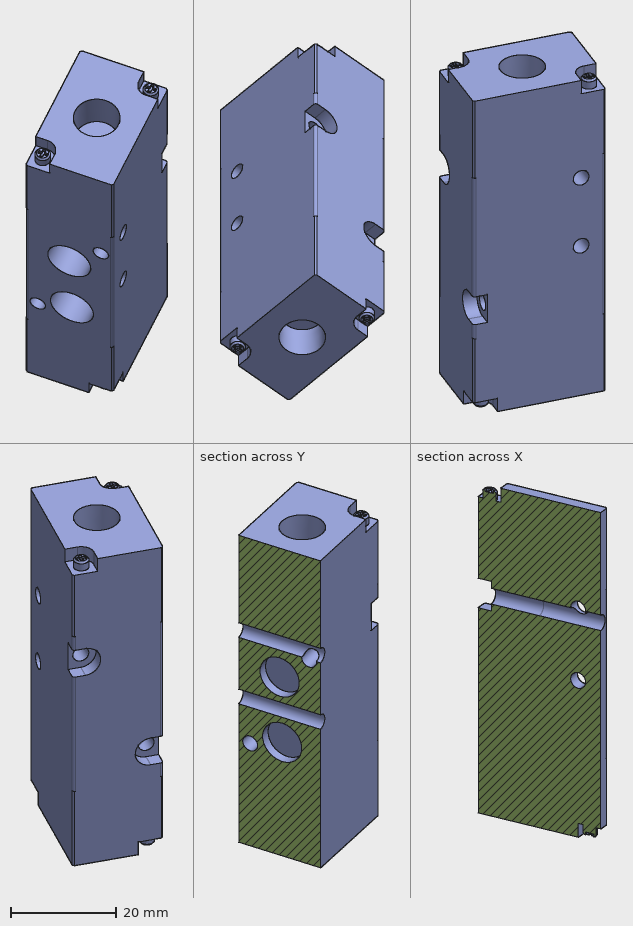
import cadquery as cq
import math

WIDTH = 18.0
DEPTH = 27.0
HEIGHT = 69.0
TOP = HEIGHT / 2
FRONT = -DEPTH / 2
BACK = DEPTH / 2

BODY_HEIGHT = 35.2
CAP_HEIGHT = (HEIGHT - BODY_HEIGHT) / 2
BODY_EDGE_RADIUS = 0.55
CAP_EDGE_CHAMFER = 0.35

PORT_MOUTH_DIAMETER = 8.8
PORT_DEPTH = 6.9
PORT_TAPER = 1 / 16
FRONT_PORTS = [(0.0, 5.5), (0.55, -9.0)]

MOUNTING_DIAMETER = 3.2
FRONT_MOUNTING_HOLES = [(6.5, 11.45), (-6.5, -11.45)]
HEAD_SLOT_WIDTH = 6.1
HEAD_SLOT_DEPTH = 2.9
SIDE_MOUNTING_Y = -8.5
SIDE_MOUNTING_HEIGHTS = [13.2, -1.7]

POCKET_SIZE = 5.0
POCKET_DEPTH = 2.9
SCREW_INSET = 2.5
SCREW_DIAMETER = 3.0
SCREW_HEIGHT = 2.0
SCREW_EDGE_WIDTH = 0.35
SCREW_EDGE_HEIGHT = 0.4
CROSS_LENGTH = 1.7
CROSS_WIDTH = 0.55
CROSS_DEPTH = 0.55



def tapered_port(mouth, inward):
    """Cone that narrows from its mouth into the block."""
    bottom_diameter = PORT_MOUTH_DIAMETER - PORT_TAPER * PORT_DEPTH
    cone = cq.Solid.makeCone(
        PORT_MOUTH_DIAMETER / 2, bottom_diameter / 2, PORT_DEPTH, cq.Vector(*mouth), cq.Vector(*inward)
    )
    return cq.Workplane(cone)


def screw_head():
    """Cross-recess screw head standing on the XY plane."""
    head = cq.Workplane().circle(SCREW_DIAMETER / 2).extrude(SCREW_HEIGHT)
    head = head.faces(">Z").chamfer(SCREW_EDGE_HEIGHT, SCREW_EDGE_WIDTH)
    cross = cq.Workplane().rect(CROSS_LENGTH, CROSS_WIDTH).extrude(CROSS_DEPTH)
    cross = cross.union(cq.Workplane().rect(CROSS_WIDTH, CROSS_LENGTH).extrude(CROSS_DEPTH))
    return head.cut(cross.translate((0, 0, SCREW_HEIGHT - CROSS_DEPTH)))


def top_cap():
    """Upper end cap: port in the middle, screws in two opposite corners."""
    cap = cq.Workplane().box(WIDTH, DEPTH, CAP_HEIGHT, centered=(True, True, False))
    cap = cap.edges("|Z").chamfer(CAP_EDGE_CHAMFER).translate((0, 0, BODY_HEIGHT / 2))
    cap = cap.cut(tapered_port((0, 0, TOP), (0, 0, -1)))

    floor = TOP - POCKET_DEPTH
    pocket = cq.Workplane().rect(POCKET_SIZE * 2, POCKET_SIZE * 2).extrude(POCKET_DEPTH)
    pocket = pocket.edges("|Z").fillet(POCKET_SIZE - SCREW_INSET)
    for corner in (-1, 1):
        corner_x = corner * WIDTH / 2
        corner_y = corner * DEPTH / 2
        screw_x = corner_x - corner * SCREW_INSET
        screw_y = corner_y - corner * SCREW_INSET
        cap = cap.cut(pocket.translate((corner_x, corner_y, floor)))
        cap = cap.union(screw_head().translate((screw_x, screw_y, floor)))
    return cap


def head_slot(hole_x, hole_z):
    """Slot around a mounting hole at the back, running out through the nearest side."""
    side_x = math.copysign(WIDTH / 2, hole_x)
    back_face = cq.Workplane("XZ", origin=(0, BACK, 0))
    round_end = back_face.center(hole_x, hole_z).circle(HEAD_SLOT_WIDTH / 2).extrude(HEAD_SLOT_DEPTH)
    run_out = back_face.center((hole_x + side_x) / 2, hole_z).rect(abs(side_x - hole_x), HEAD_SLOT_WIDTH)
    return round_end.union(run_out.extrude(HEAD_SLOT_DEPTH))


def valve_body():
    """Middle block with ports, mounting holes and head slots."""
    body = cq.Workplane().box(WIDTH, DEPTH, BODY_HEIGHT).edges("|Z").fillet(BODY_EDGE_RADIUS)

    for x, z in FRONT_PORTS:
        body = body.cut(tapered_port((x, FRONT, z), (0, 1, 0)))

    front_holes = cq.Workplane("XZ").pushPoints(FRONT_MOUNTING_HOLES)
    body = body.cut(front_holes.circle(MOUNTING_DIAMETER / 2).extrude(DEPTH, both=True))

    side_points = [(SIDE_MOUNTING_Y, z) for z in SIDE_MOUNTING_HEIGHTS]
    side_holes = cq.Workplane("YZ").pushPoints(side_points)
    body = body.cut(side_holes.circle(MOUNTING_DIAMETER / 2).extrude(WIDTH, both=True))

    for x, z in FRONT_MOUNTING_HOLES:
        body = body.cut(head_slot(x, z))
    return body


upper_cap = top_cap()
lower_cap = upper_cap.rotate((0, 0, 0), (0, 1, 0), 180)
result = valve_body().union(upper_cap).union(lower_cap)